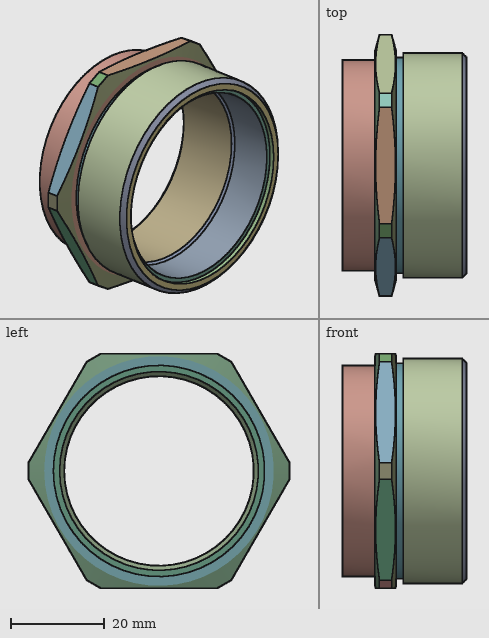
import cadquery as cq

COLLAR_LENGTH = 6.95
HEX_LENGTH = 4.5
NECK_LENGTH = 1.5
BARREL_LENGTH = 13.55
HEX_START = COLLAR_LENGTH
HEX_END = HEX_START + HEX_LENGTH
NECK_END = HEX_END + NECK_LENGTH
TOTAL_LENGTH = NECK_END + BARREL_LENGTH

COLLAR_RADIUS = 22.5
NECK_RADIUS = 23.0
BARREL_RADIUS = 24.0
EDGE_CHAMFER = 1.0

HEX_ACROSS_FLATS = 50.0
HEX_ACROSS_CUT_CORNERS = 55.75
HEX_FACE_RADIUS = 24.45
HEX_BEVEL_DEPTH = 0.95

BORE_RADIUS = 20.2
WIDE_BORE_START = 15.3
WIDE_BORE_STEP = 0.5
WIDE_BORE_RADIUS = BORE_RADIUS + WIDE_BORE_STEP
MOUTH_RADIUS = 21.6
MOUTH_DEPTH = 1.1
MOUTH_START = TOTAL_LENGTH - MOUTH_DEPTH


def cylinder(radius, start, length):
    """Solid cylinder along X, beginning at the given X position."""
    return cq.Workplane("YZ", origin=(start, 0, 0)).circle(radius).extrude(length)


def turned(profile):
    """Solid of revolution about X from (x, radius) points, closed along the axis."""
    first_x = profile[0][0]
    last_x = profile[-1][0]
    outline = [(first_x, 0)] + profile + [(last_x, 0)]
    return cq.Workplane("XY").polyline(outline).close().revolve(360, (0, 0, 0), (1, 0, 0))


def hex_prism(across_flats, turn):
    """Hexagonal prism along X; unturned, it has two flats facing +Y and -Y."""
    prism = (
        cq.Workplane("YZ", origin=(HEX_START, 0, 0))
        .polygon(6, across_flats, circumscribed=True)
        .extrude(HEX_LENGTH)
    )
    return prism.rotate((0, 0, 0), (1, 0, 0), turn)


def hex_flange():
    """Hexagon with flats facing +Z and -Z, corners cut flat, both faces bevelled conically."""
    hexagon = hex_prism(HEX_ACROSS_FLATS, 30)
    corner_cut = hex_prism(HEX_ACROSS_CUT_CORNERS, 0)
    bevel_width = HEX_ACROSS_CUT_CORNERS / 2 - HEX_FACE_RADIUS
    half_length = HEX_LENGTH / 2
    meeting_radius = HEX_FACE_RADIUS + half_length * bevel_width / HEX_BEVEL_DEPTH
    bevels = turned([
        (HEX_START, HEX_FACE_RADIUS),
        (HEX_START + half_length, meeting_radius),
        (HEX_END, HEX_FACE_RADIUS),
    ])
    return hexagon.intersect(corner_cut).intersect(bevels)


def bore():
    """Through bore: chamfered entry, sloped step to a wider bore, square counterbore at the end."""
    return turned([
        (0, BORE_RADIUS + EDGE_CHAMFER),
        (EDGE_CHAMFER, BORE_RADIUS),
        (WIDE_BORE_START, BORE_RADIUS),
        (WIDE_BORE_START + WIDE_BORE_STEP, WIDE_BORE_RADIUS),
        (MOUTH_START, WIDE_BORE_RADIUS),
        (MOUTH_START, MOUTH_RADIUS),
        (TOTAL_LENGTH, MOUTH_RADIUS),
    ])


collar = cylinder(COLLAR_RADIUS, 0, COLLAR_LENGTH)
neck = cylinder(NECK_RADIUS, HEX_END, NECK_LENGTH)
barrel = cylinder(BARREL_RADIUS, NECK_END, BARREL_LENGTH).faces(">X").chamfer(EDGE_CHAMFER)

result = collar.union(hex_flange()).union(neck).union(barrel).cut(bore())